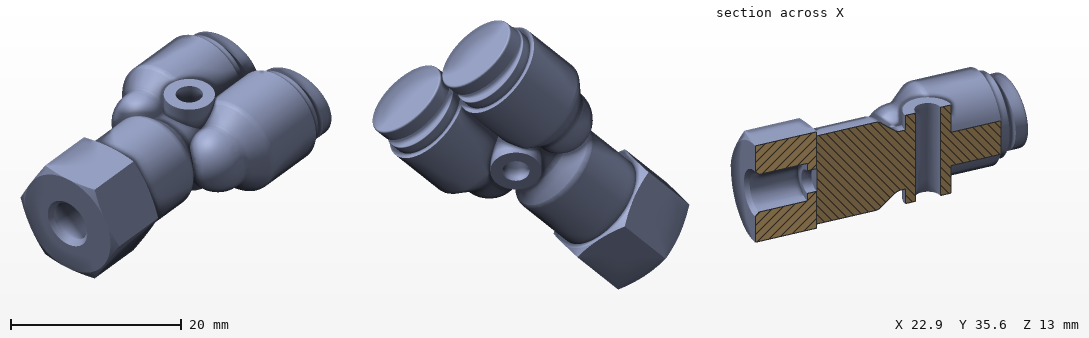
import cadquery as cq
import math


total_length = 35.6

nut_across_flats = 13.0
nut_length = 8.0
nut_chamfer_drop = 0.43
nut_bore_diameter = 5.0
nut_bore_mouth_diameter = 6.0
nut_bore_depth = 6.75
nut_inner_hole_diameter = 3.0

barrel_diameter = 11.9
neck_diameter = 7.97
cone_length = 2.5
cone_blend_radius = 1.0
stem_cone_start = 16.0
port_dome_center = 21.05
port_neck_length = 0.45
port_spacing = 11.0

post_diameter = 6.0
post_hole_diameter = 3.2
post_center = 22.45

flange_width = 10.8
flange_height = 8.6
flange_thickness = 1.67
flange_edge_radius = 0.2
sleeve_neck_diameter = 5.5
sleeve_neck_gap = 0.7

collar_diameter = 10.6
collar_length = 1.28
collar_edge_radius = 0.1

flange_start = total_length - flange_thickness
collar_end = flange_start - sleeve_neck_gap
port_mouth = collar_end - collar_length
port_axes = (-port_spacing / 2, port_spacing / 2)


def plane_at(y, x=0.0):
    """Plane across the fitting axis whose normal points along +Y; its local x is +X."""
    return cq.Workplane(cq.Plane(origin=(x, y, 0), xDir=(1, 0, 0), normal=(0, 1, 0)))


def cylinder(diameter, start, end, x=0.0):
    """Cylinder along Y between two Y positions."""
    return plane_at(start, x).circle(diameter / 2).extrude(end - start)


def turned(profile):
    """Revolve a closed (radius, y) outline about the Y axis."""
    return cq.Workplane("XY").polyline(profile).close().revolve(360, (0, 0, 0), (0, 1, 0))


def blend_cone_edges(body, cone_start, cone_end):
    """Round both edges of the cone that lies between two Y positions."""
    margin = cone_blend_radius / 10
    around_cone = cq.selectors.BoxSelector(
        (-barrel_diameter, cone_start - margin, -barrel_diameter),
        (barrel_diameter, cone_end + margin, barrel_diameter),
    )
    circles_at_cone = body.edges("%CIRCLE").edges(around_cone)
    return circles_at_cone.fillet(cone_blend_radius)


def make_nut():
    across_corners = nut_across_flats / math.cos(math.pi / 6)
    hexagon = plane_at(0).polygon(6, across_corners).extrude(nut_length)

    face_radius = nut_across_flats / 2
    corner_radius = across_corners / 2
    blank = turned([
        (0, 0),
        (face_radius, 0),
        (corner_radius, nut_chamfer_drop),
        (corner_radius, nut_length - nut_chamfer_drop),
        (face_radius, nut_length),
        (0, nut_length),
    ])

    mouth_radius = nut_bore_mouth_diameter / 2
    bore_radius = nut_bore_diameter / 2
    hole_radius = nut_inner_hole_diameter / 2
    bore = turned([
        (0, 0),
        (mouth_radius, 0),
        (bore_radius, mouth_radius - bore_radius),
        (bore_radius, nut_bore_depth),
        (hole_radius, nut_bore_depth),
        (hole_radius, nut_length),
        (0, nut_length),
    ])
    return hexagon.intersect(blank).cut(bore)


def make_stem():
    """Barrel behind the nut, tapering to a neck that ends inside the mounting post."""
    cone_end = stem_cone_start + cone_length
    stem = turned([
        (0, nut_length),
        (barrel_diameter / 2, nut_length),
        (barrel_diameter / 2, stem_cone_start),
        (neck_diameter / 2, cone_end),
        (neck_diameter / 2, post_center),
        (0, post_center),
    ])
    return blend_cone_edges(stem, stem_cone_start, cone_end)


def make_port(x):
    """One port: barrel, cone and short neck closed by a dome."""
    cone_start = port_dome_center + port_neck_length
    cone_end = cone_start + cone_length
    port = turned([
        (0, port_dome_center),
        (neck_diameter / 2, port_dome_center),
        (neck_diameter / 2, cone_start),
        (barrel_diameter / 2, cone_end),
        (barrel_diameter / 2, port_mouth),
        (0, port_mouth),
    ])
    port = blend_cone_edges(port, cone_start, cone_end)
    dome = cq.Workplane("XY").sphere(neck_diameter / 2).translate((0, port_dome_center, 0))
    return port.union(dome).translate((x, 0, 0))


def make_housing():
    housing = make_stem()
    for x in port_axes:
        housing = housing.union(make_port(x))

    post_axis = cq.Workplane("XY").center(0, post_center)
    post = post_axis.circle(post_diameter / 2).extrude(barrel_diameter / 2, both=True)
    hole = post_axis.circle(post_hole_diameter / 2).extrude(barrel_diameter, both=True)
    return housing.union(post).cut(hole)


def make_collar(x):
    """Ring on the port mouth, bored to fit the sleeve neck."""
    ring = cylinder(collar_diameter, port_mouth, collar_end, x)
    ring = ring.faces(">Y").edges().fillet(collar_edge_radius)
    return ring.cut(cylinder(sleeve_neck_diameter, port_mouth, collar_end, x))


def make_sleeve(x):
    """Oval flange on a neck that passes through the collar to the port mouth."""
    flange = plane_at(flange_start, x).ellipse(flange_width / 2, flange_height / 2)
    flange = flange.extrude(flange_thickness)
    flange = flange.faces(">Y").edges().fillet(flange_edge_radius)
    return flange.union(cylinder(sleeve_neck_diameter, port_mouth, flange_start, x))


nut = make_nut()
housing = make_housing()
collars = [make_collar(x) for x in port_axes]
sleeves = [make_sleeve(x) for x in port_axes]

result = cq.Compound.makeCompound([
    nut.val(),
    housing.val(),
    *[collar.val() for collar in collars],
    *[sleeve.val() for sleeve in sleeves],
])